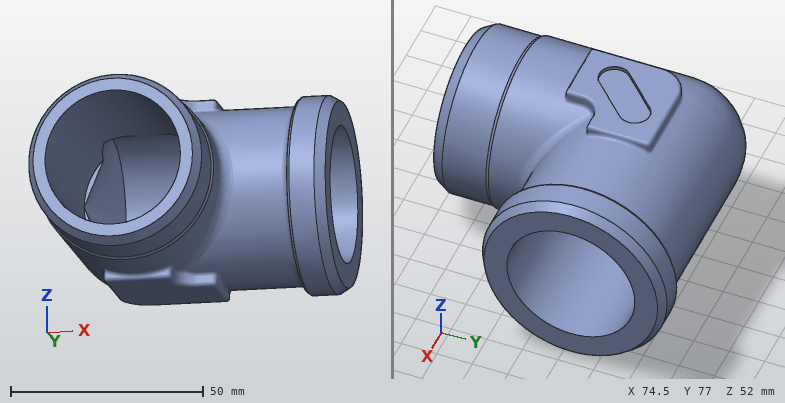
import cadquery as cq
import math

overall_y = 77.0
flange_r = 52.0 / 2
port_reach = overall_y - flange_r
pipe_r = 47.0 / 2
x_bore_r = 36.0 / 2
y_bore_r = 35.95 / 2
outer_bend_round = 15.0
inner_bend_round = 3.0
mitre_top = 23.1
flat_width = 12.3

spigot_r = 46.0 / 2
spigot_tip_r = 42.35 / 2
shoulder_reach = 34.65
bevel_angle = math.radians(30)

flange_width = 10.0
flange_face_r = 48.9 / 2
flange_root_round = 2.0
flange_back_chamfer = 0.7

drill_tip_x = -x_bore_r
drill_point_length = 7.5

pad_height = 25.0
pad_near = 9.0
pad_far = 19.0
pad_outer_round = 8.0
pad_notch_round = 5.0
pad_edge_round = 1.0

slot_width = 8.5
slot_length = 22.2
slot_offset = 4.2
slot_depth = 1.0


def revolve_about(profile, axis_end):
    """Turn a closed half profile about the axis from the origin to axis_end."""
    return profile.close().revolve(360, (0, 0, 0), axis_end)


def flanged_pipe():
    """Pipe along +X with a bevelled flange at the port."""
    flange_back = port_reach - flange_width
    face_bevel = (flange_r - flange_face_r) / math.tan(bevel_angle)
    profile = (
        cq.Workplane("XY")
        .moveTo(-2 * pipe_r, 0)
        .lineTo(-2 * pipe_r, pipe_r)
        .lineTo(flange_back - flange_root_round, pipe_r)
        .radiusArc((flange_back, pipe_r + flange_root_round), -flange_root_round)
        .lineTo(flange_back, flange_r - flange_back_chamfer)
        .lineTo(flange_back + flange_back_chamfer, flange_r)
        .lineTo(port_reach - face_bevel, flange_r)
        .lineTo(port_reach, flange_face_r)
        .lineTo(port_reach, 0)
    )
    return revolve_about(profile, (1, 0, 0))


def spigot_pipe():
    """Pipe along -Y stepping down to a bevelled spigot at the port."""
    shoulder_bevel = (pipe_r - spigot_r) / math.tan(bevel_angle)
    tip_bevel = (spigot_r - spigot_tip_r) / math.tan(bevel_angle)
    profile = (
        cq.Workplane("XY")
        .moveTo(0, 2 * pipe_r)
        .lineTo(pipe_r, 2 * pipe_r)
        .lineTo(pipe_r, -shoulder_reach)
        .lineTo(spigot_r, -shoulder_reach - shoulder_bevel)
        .lineTo(spigot_r, tip_bevel - port_reach)
        .lineTo(spigot_tip_r, -port_reach)
        .lineTo(0, -port_reach)
    )
    return revolve_about(profile, (0, 1, 0))


def mitred(pipe, side):
    """The part of a pipe on its own side of the mitre plane."""
    span = 2 * overall_y
    keep = cq.Workplane("XY").polyline([(-span, span), (span, -span), (side * span, side * span)]).close()
    return pipe.intersect(keep.extrude(span, both=True))


def elbow():
    """Both pipes joined at the mitre, rounded along the outer edge and in the inner corner."""
    body = mitred(flanged_pipe(), 1).union(mitred(spigot_pipe(), -1))
    core = cq.Workplane("XY").box(4 * pipe_r, 4 * pipe_r, 2 * mitre_top)
    flats = cq.Workplane("XY").box(flat_width, flat_width, 2 * pipe_r).cut(core)
    body = body.cut(flats)
    half_way = pipe_r * math.sqrt(0.5)
    for outward, radius in ((-1, outer_bend_round), (1, inner_bend_round)):
        edge_point = (outward * half_way, -outward * half_way, half_way)
        body = body.edges(cq.selectors.NearestToPointSelector(edge_point)).fillet(radius)
    return body


def pads():
    """L-shaped pads standing out above and below, with rounded upright corners."""
    block = (
        cq.Workplane("XY")
        .moveTo(-pad_near, -pad_far)
        .lineTo(-pad_near, pad_near)
        .lineTo(pad_far, pad_near)
        .lineTo(pad_far, -pad_near)
        .lineTo(pad_near, -pad_near)
        .lineTo(pad_near, -pad_far)
        .close()
        .extrude(pad_height, both=True)
    )
    outer_corner = cq.selectors.NearestToPointSelector((-pad_near, pad_near, 0))
    notch_corner = cq.selectors.NearestToPointSelector((pad_near, -pad_near, 0))
    block = block.edges(outer_corner).fillet(pad_outer_round)
    block = block.edges(notch_corner).fillet(pad_notch_round)
    leg_ends = block.faces(">X or <Y").edges("|Z")
    return leg_ends.fillet(pad_edge_round)


def x_bore():
    """Bore from the +X port, ending in a drill point past the bend."""
    profile = (
        cq.Workplane("XY")
        .moveTo(drill_tip_x, 0)
        .lineTo(drill_tip_x + drill_point_length, x_bore_r)
        .lineTo(port_reach, x_bore_r)
        .lineTo(port_reach, 0)
    )
    return revolve_about(profile, (1, 0, 0))


def y_bore():
    """Bore from the -Y port, ending square on the X axis."""
    return cq.Workplane("XZ").circle(y_bore_r).extrude(port_reach)


def slot():
    """Round-ended recess in the upper pad face."""
    return (
        cq.Workplane("XY", origin=(slot_offset, -slot_offset, pad_height))
        .transformed(rotate=(0, 0, 45))
        .slot2D(slot_length, slot_width)
        .extrude(-slot_depth)
    )


def pad_zone(low, high):
    """Selector for items centred within the pad outline between two heights."""
    margin = 0.1
    far = pad_far + margin
    near = pad_near + margin
    return cq.selectors.BoxSelector((-near, -far, low), (far, near, high))


def padded_elbow():
    """Elbow with its pads, rounded along the pad faces and along the foot of the pad walls."""
    body = elbow().union(pads())
    for face in (">Z", "<Z"):
        body = body.faces("|Z").faces(face).edges().fillet(pad_edge_round)
    foot_low = math.sqrt(pipe_r**2 - pad_near**2) - pad_edge_round
    above = pad_zone(foot_low, pipe_r)
    below = pad_zone(-pipe_r, -foot_low)
    return body.edges(above + below).edges("not |Z").fillet(pad_edge_round)


result = padded_elbow().cut(x_bore()).cut(y_bore()).cut(slot())